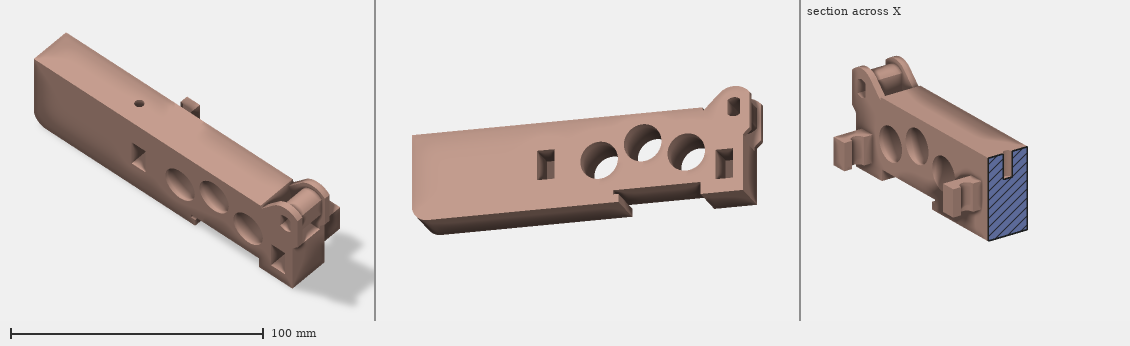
import cadquery as cq
import math

length = 139.5
thickness = 19.3
body_height = 36.1
overall_height = 43.8
back_x = 136.8
nose_radius = 6.4

hook_tip_x = 85.4
hook_root_x = 83.1
hook_height = 3.3
recess_height = 5.0
recess_end_x = 119.3

cheek_radius = 8.6
cheek_thickness = 2.9
clevis_x = 133.1
clevis_z = overall_height - cheek_radius
overhang_low_z = 23.3
overhang_high_z = overhang_low_z + length - back_x
gap_start_x = 120.0
gap_ramp_x = 122.9
gap_floor_x = 127.0
gap_wall_angle = 73.5
gap_ramp_angle = 50.0
hub_radius = 6.3
hub_width = 9.5
slot_radius = 3.98
slot_width = 5.3

round_hole_diameter = 15.5
outer_hole_z = 18.1
middle_hole_x = 95.4
middle_hole_z = 23.7
hole_pitch_x = 18.0
pin_hole_diameter = 4.0
pin_hole_x = 47.3
pin_hole_depth = 11.2

overall_depth = 33.0
arm_length = overall_depth - thickness
arm_height = 12.3
socket_width = 7.3
socket_depth = 14.0
front_arm = (51.8, 12.3, 6.8)
rear_arm = (125.5, 5.6, 7.3)
notch_radius = 2.9
notch_offset = 7.1


def prism(outline, y_start, depth):
    """Extrude a closed XZ outline toward +Y from y_start."""
    return outline.extrude(-depth).translate((0, y_start, 0))


def block(x_start, x_end, y_start, y_end, z_start, z_end):
    """Box given by its limits along the three axes."""
    size = (x_end - x_start, y_end - y_start, z_end - z_start)
    return cq.Workplane("XY").box(*size, centered=False).translate((x_start, y_start, z_start))


def capped_slot(width, radius, y_start, depth):
    """Clevis-centred flat-sided bar with concentric round caps at top and bottom."""
    half_width = width / 2
    cap_rise = math.sqrt(radius**2 - half_width**2)
    outline = (
        cq.Workplane("XZ")
        .moveTo(clevis_x - half_width, clevis_z - cap_rise)
        .lineTo(clevis_x - half_width, clevis_z + cap_rise)
        .threePointArc((clevis_x, clevis_z + radius), (clevis_x + half_width, clevis_z + cap_rise))
        .lineTo(clevis_x + half_width, clevis_z - cap_rise)
        .threePointArc((clevis_x, clevis_z - radius), (clevis_x - half_width, clevis_z - cap_rise))
        .close()
    )
    return prism(outline, y_start, depth)


def side_profile():
    """Full-thickness silhouette, with the cheek arc tangent to a 45 degree ramp."""
    diagonal = cheek_radius * math.sqrt(0.5)
    ramp_top = (clevis_x - diagonal, clevis_z + diagonal)
    arc_end_z = clevis_z + math.sqrt(cheek_radius**2 - (length - clevis_x)**2)

    wall_slope = math.tan(math.radians(gap_wall_angle))
    ramp_z_at_gap = ramp_top[1] - (ramp_top[0] - gap_start_x)
    valley_run = (body_height - ramp_z_at_gap) / (1 + wall_slope)
    valley = (gap_start_x + valley_run, ramp_z_at_gap + valley_run)

    nose_mid = nose_radius * (1 - math.sqrt(0.5))
    outline = (
        cq.Workplane("XZ")
        .moveTo(nose_radius, 0)
        .lineTo(hook_tip_x, 0)
        .lineTo(hook_tip_x, hook_height)
        .lineTo(hook_root_x, hook_height)
        .lineTo(hook_root_x, recess_height)
        .lineTo(recess_end_x, recess_height)
        .lineTo(recess_end_x, 0)
        .lineTo(back_x, 0)
        .lineTo(back_x, overhang_low_z)
        .lineTo(length, overhang_high_z)
        .lineTo(length, arc_end_z)
        .threePointArc((clevis_x, overall_height), ramp_top)
        .lineTo(*valley)
        .lineTo(gap_start_x, body_height)
        .lineTo(0, body_height)
        .lineTo(0, nose_radius)
        .threePointArc((nose_mid, nose_mid), (nose_radius, 0))
        .close()
    )
    return prism(outline, 0, thickness)


def clevis_gap():
    """Space between the cheeks, open at the top and back and surrounding the hub."""
    gap_width = thickness - 2 * cheek_thickness
    wall_slope = math.tan(math.radians(gap_wall_angle))
    ramp_slope = math.tan(math.radians(gap_ramp_angle))
    ramp_z = body_height - (gap_ramp_x - gap_start_x) * wall_slope
    floor_z = ramp_z - (gap_floor_x - gap_ramp_x) * ramp_slope
    outline = (
        cq.Workplane("XZ")
        .moveTo(gap_start_x, body_height)
        .lineTo(gap_ramp_x, ramp_z)
        .lineTo(gap_floor_x, floor_z)
        .lineTo(length, floor_z)
        .lineTo(length, overall_height)
        .lineTo(gap_start_x, overall_height)
        .close()
    )
    hub = capped_slot(hub_width, hub_radius, cheek_thickness, gap_width)
    return prism(outline, cheek_thickness, gap_width).cut(hub)


def round_holes():
    """Three cross holes through the thickness, the middle one raised."""
    centers = [
        (middle_hole_x - hole_pitch_x, outer_hole_z),
        (middle_hole_x, middle_hole_z),
        (middle_hole_x + hole_pitch_x, outer_hole_z),
    ]
    outline = cq.Workplane("XZ").pushPoints(centers).circle(round_hole_diameter / 2)
    return prism(outline, 0, thickness)


def pin_hole():
    """Blind vertical hole in the top face at mid-thickness."""
    return (
        cq.Workplane("XY", origin=(0, 0, body_height))
        .center(pin_hole_x, thickness / 2)
        .circle(pin_hole_diameter / 2)
        .extrude(-pin_hole_depth)
    )


def arm(x, z, width):
    """Arm with a round vertical notch in its -X face."""
    bar = block(x, x + width, thickness, thickness + arm_length, z, z + arm_height)
    notch = (
        cq.Workplane("XY", origin=(0, 0, z))
        .center(x, thickness + notch_offset)
        .circle(notch_radius)
        .extrude(arm_height)
    )
    return bar.cut(notch)


def socket(x, z):
    """Blind rectangular socket in line with an arm."""
    return block(x, x + socket_width, 0, socket_depth, z, z + arm_height)


result = side_profile().cut(clevis_gap())
result = result.cut(capped_slot(slot_width, slot_radius, 0, thickness))
result = result.cut(round_holes()).cut(pin_hole())
for arm_x, arm_z, arm_width in (front_arm, rear_arm):
    result = result.cut(socket(arm_x, arm_z))
    result = result.union(arm(arm_x, arm_z, arm_width))